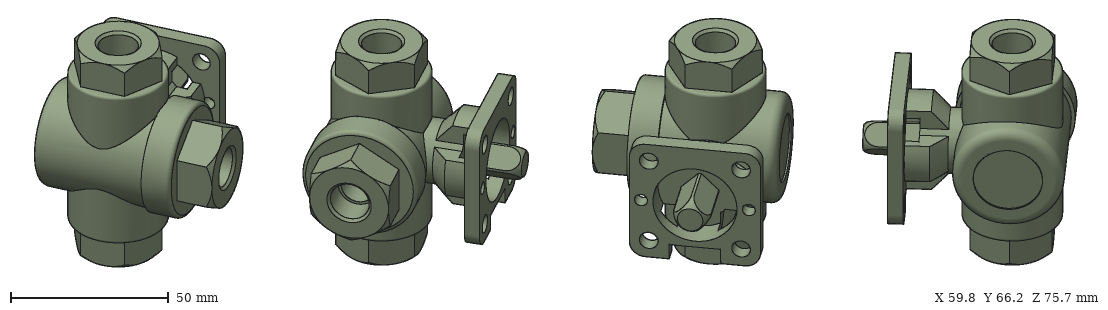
import cadquery as cq
import math


barrel_dia = 35.5
barrel_left = -22.4
barrel_round = 3.0
badge_dia = 22.0
badge_depth = 0.6
collar_dia = 38.0
collar_left = 15.6
collar_right = 25.4
collar_round = 1.4

port_dia = 32.0
port_shoulder = 27.3
port_round = 0.9
port_end = 37.85
side_port_end = 37.4
hex_flats = 26.05
hex_corners = hex_flats / math.cos(math.radians(30))
hex_bevel_length = 1.9
bore_dia = 11.0
thread_dia = 12.8
thread_depth = 9.85
thread_chamfer = 0.9

neck_dia = 21.0
neck_top = 28.9
leg_outer_dia = port_dia
leg_inner_dia = 27.0
leg_width = 13.2
leg_cone_top = 25.3
leg_bottom = leg_cone_top - (leg_outer_dia - neck_dia) / 2

plate_size = 42.2
plate_bottom = 33.3
plate_top = 38.3
plate_corner_radius = 5.15
bolt_circle_dia = 42.0
bolt_hole_dia = 6.0
pin_spacing = 34.7
pin_hole_dia = 4.2
notch_width = 16.5
notch_depth = 5.4

stem_dia = 12.1
stem_flats = 9.15
stem_top = 47.2
stem_crown_height = 5.0
stem_tip_dia = 8.2


def cylinder_x(diameter, start, end):
    return cq.Workplane("YZ", origin=(start, 0, 0)).circle(diameter / 2).extrude(end - start)


def plane_y(height):
    """Sketch plane across the stem axis: local x is X, local y is -Z, normal is +Y."""
    return cq.Workplane(cq.Plane(origin=(0, height, 0), xDir=(1, 0, 0), normal=(0, 1, 0)))


def cylinder_y(diameter, start, end):
    return plane_y(start).circle(diameter / 2).extrude(end - start)


def turn_to_port(shape, direction):
    """Turn a shape built along +Z so that it points along the given port direction."""
    angle = {"+Z": 0, "+X": 90, "-Z": 180}[direction]
    return shape.rotate((0, 0, 0), (0, 1, 0), angle)


def hex_end(start, end):
    """Hexagon along +Z with corners on X, its outer corners bevelled down to the flats."""
    prism = cq.Workplane("XY", origin=(0, 0, start)).polygon(6, hex_corners).extrude(end - start)
    corner_radius = hex_corners / 2
    bevelled_envelope = (
        cq.Workplane("XZ")
        .moveTo(0, start)
        .lineTo(corner_radius, start)
        .lineTo(corner_radius, end - hex_bevel_length)
        .lineTo(hex_flats / 2, end)
        .lineTo(0, end)
        .close()
        .revolve(360, (0, 0), (0, 1))
    )
    return prism.intersect(bevelled_envelope)


def port_bore(end):
    """Bore from the centre out along +Z, ending in a wider thread hole with a chamfered mouth."""
    thread_radius = thread_dia / 2
    return (
        cq.Workplane("XZ")
        .lineTo(bore_dia / 2, 0)
        .lineTo(bore_dia / 2, end - thread_depth)
        .lineTo(thread_radius, end - thread_depth)
        .lineTo(thread_radius, end - thread_chamfer)
        .lineTo(thread_radius + thread_chamfer, end)
        .lineTo(0, end)
        .close()
        .revolve(360, (0, 0), (0, 1))
    )


def make_barrel():
    barrel = cylinder_x(barrel_dia, barrel_left, collar_right).faces("<X").edges().fillet(barrel_round)
    collar = cylinder_x(collar_dia, collar_left, collar_right).faces(">X").edges().fillet(collar_round)
    badge_recess = cylinder_x(badge_dia, barrel_left, barrel_left + badge_depth)
    return barrel.union(collar).cut(badge_recess)


def make_vertical_ports():
    ports = (
        cq.Workplane("XY", origin=(0, 0, -port_shoulder))
        .circle(port_dia / 2)
        .extrude(2 * port_shoulder)
        .faces("<Z or >Z")
        .edges()
        .fillet(port_round)
    )
    for direction in ("+Z", "-Z"):
        ports = ports.union(turn_to_port(hex_end(port_shoulder, port_end), direction))
    return ports


def make_bracket():
    """Turned ring with a conical underside, trimmed to a cross of four legs around the neck."""
    ring = (
        cq.Workplane("XY")
        .moveTo(0, leg_bottom)
        .lineTo(neck_dia / 2, leg_bottom)
        .lineTo(leg_outer_dia / 2, leg_cone_top)
        .lineTo(leg_outer_dia / 2, plate_bottom)
        .lineTo(leg_inner_dia / 2, plate_bottom)
        .lineTo(leg_inner_dia / 2, neck_top)
        .lineTo(0, neck_top)
        .close()
        .revolve(360, (0, 0), (0, 1))
    )
    leg_height = plate_bottom - leg_bottom
    cross = plane_y(leg_bottom).rect(leg_outer_dia, leg_width).extrude(leg_height)
    cross = cross.union(plane_y(leg_bottom).rect(leg_width, leg_outer_dia).extrude(leg_height))
    return ring.intersect(cross).union(cylinder_y(neck_dia, 0, neck_top))


def make_plate():
    """Square plate on the legs: open in the middle, drilled, and notched on its -Z edge."""
    thickness = plate_top - plate_bottom
    plate = plane_y(plate_bottom).rect(plate_size, plate_size).extrude(thickness)
    plate = plate.edges("|Y").fillet(plate_corner_radius)
    notch = (
        plane_y(plate_bottom)
        .center(0, (plate_size - notch_depth) / 2)
        .rect(notch_width, notch_depth)
        .extrude(thickness)
    )
    bolt_holes = (
        plane_y(plate_bottom)
        .polarArray(bolt_circle_dia / 2, 45, 360, 4)
        .circle(bolt_hole_dia / 2)
        .extrude(thickness)
    )
    pin_holes = (
        plane_y(plate_bottom)
        .pushPoints([(-pin_spacing / 2, 0), (pin_spacing / 2, 0)])
        .circle(pin_hole_dia / 2)
        .extrude(thickness)
    )
    stem_opening = cylinder_y(leg_inner_dia, plate_bottom, plate_top)
    return plate.cut(notch).cut(bolt_holes).cut(pin_holes).cut(stem_opening)


def make_stem():
    """Round stem with a domed crown; four flats run its whole length at 45 degrees to X."""
    radius = stem_dia / 2
    crown_start = stem_top - stem_crown_height
    stem = (
        cq.Workplane("XY")
        .moveTo(0, neck_top)
        .lineTo(radius, neck_top)
        .lineTo(radius, crown_start)
        .tangentArcPoint((stem_tip_dia / 2, stem_top), relative=False)
        .lineTo(0, stem_top)
        .close()
        .revolve(360, (0, 0), (0, 1))
    )
    square = (
        plane_y(neck_top)
        .rect(stem_flats, stem_flats)
        .extrude(stem_top - neck_top)
        .rotate((0, 0, 0), (0, 1, 0), 45)
    )
    return stem.intersect(square)


def cut_flow_passage(solid):
    solid = solid.cut(turn_to_port(port_bore(port_end), "+Z"))
    solid = solid.cut(turn_to_port(port_bore(port_end), "-Z"))
    return solid.cut(turn_to_port(port_bore(side_port_end), "+X"))


valve = (
    make_barrel()
    .union(turn_to_port(hex_end(collar_right, side_port_end), "+X"))
    .union(make_vertical_ports())
    .union(make_bracket())
    .union(make_plate())
    .union(make_stem())
)
result = cut_flow_passage(valve)